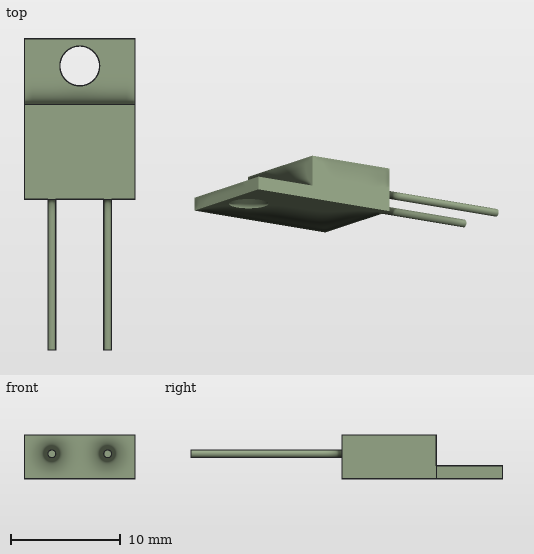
import cadquery as cq

total_length = 28.35
width = 10.1

housing_length = 8.62
housing_height = 4.0

tab_length = 6.0
tab_thickness = 1.2
hole_diameter = 3.6
hole_edge_distance = 2.5

lead_diameter = 0.7
lead_spacing = 5.07
lead_height = 2.27
lead_length = total_length - housing_length - tab_length


def make_housing():
    """Plain block with its front face at Y = 0 and its underside at Z = 0."""
    return cq.Workplane("XY").box(
        width, housing_length, housing_height, centered=(True, False, False)
    )


def make_tab():
    """Thin plate against the back of the housing, with a mounting hole."""
    plate = (
        cq.Workplane("XY")
        .box(width, tab_length, tab_thickness, centered=(True, False, False))
        .translate((0, housing_length, 0))
    )
    hole = (
        cq.Workplane("XY")
        .center(0, housing_length + tab_length - hole_edge_distance)
        .circle(hole_diameter / 2)
        .extrude(tab_thickness)
    )
    return plate.cut(hole)


def make_lead(x):
    """Round lead running forward from the front face of the housing."""
    return (
        cq.Workplane("XZ")
        .center(x, lead_height)
        .circle(lead_diameter / 2)
        .extrude(lead_length)
    )


housing = make_housing()
tab = make_tab()
leads = [make_lead(side * lead_spacing / 2) for side in (-1, 1)]

result = cq.Compound.makeCompound(
    [housing.val(), tab.val(), *[lead.val() for lead in leads]]
)